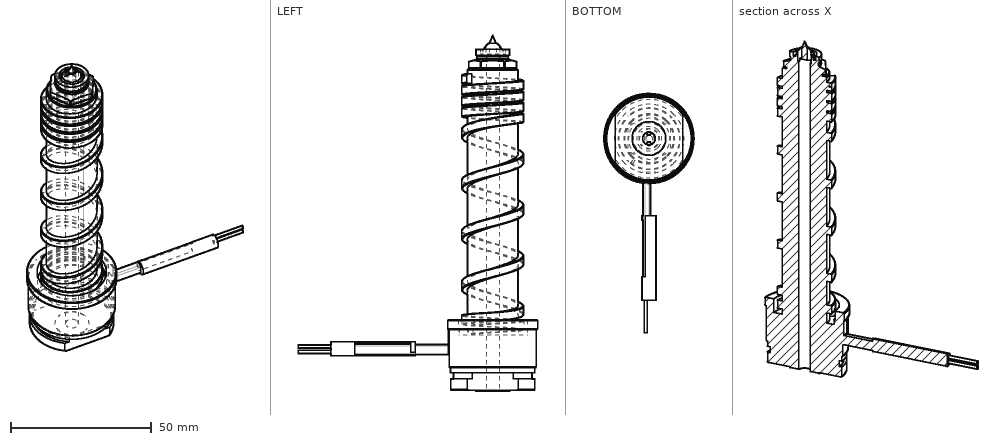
import cadquery as cq
import math

pad_diameter = 12.0
pad_height = 0.25
plug_diameter = 30.0
plug_top = 4.3
plug_chamfer = 0.3
neck_diameter = 28.0
flats_width = 24.0

shoulder_bottom = 6.4
shoulder_diameter = 30.0
sleeve_bottom = 8.2
sleeve_diameter = 31.0
sleeve_chamfer = 0.4
flange_bottom = 21.8
flange_top = 25.2
flange_diameter = 32.0
flange_chamfer = 0.3
recess_diameter = 24.6
recess_floor = 20.0

core_diameter = 18.0
core_top = 114.3
core_chamfer = 0.4
bore_diameter = 4.5
bore_top = 119.0
hex_across_flats = 15.0
hex_top = 117.6
hex_turned_diameter = 17.0
hex_undercut_height = 0.4
hex_undercut_diameter = 14.6
hex_corner_drop = 0.7
throat_diameter = 11.2
throat_flare = 0.4
collar_diameter = 12.0
collar_bottom = 119.2
collar_top = 121.2
gap_depth = 1.5
gap_outer_diameter = 8.8
gap_inner_diameter = 7.4

tip_base_diameter = 6.8
tip_step_height = 123.4
tip_step_diameter = 3.4
point_diameter = 2.4
tip_top = 126.2
flow_hole_diameter = 1.3
flow_hole_offset = 1.9
flow_hole_overlap = 1.0

coil_outer_radius = 11.0
coil_embed = 0.4
coil_inner_radius = core_diameter / 2 - coil_embed
coil_height = 3.3
coil_chamfer = 0.25
close_pitch = 3.9
open_pitch = 18.0
blend_turns = 0.37
open_start_angle = -52.5
open_start_z = 30.3
open_turns = 3.832
lower_turns = 1.5
upper_turns = 3.657
points_per_turn = 16

tube_z = 15.0
tube_diameter = 5.0
tube_start = 27.4
tube_end = 57.4
window_start = 29.0
window_end = 49.0
window_x = -1.35
cable_x = -0.8
cable_z = 14.7
cable_width = 2.7
cable_height = 3.75
cable_corner_radius = 0.6
cable_embed_margin = 1.0
wire_x = -1.15
wire_z = 14.85
wire_diameter = 1.2
wire_spacing = 1.9
wire_end = 69.0
wire_embed = 1.0
guard_width = 4.6
guard_reach = 15.8
guard_depth = 4.0


def cylinder(diameter, bottom, top):
    return cq.Workplane("XY").workplane(offset=bottom).circle(diameter / 2).extrude(top - bottom)


def make_plug():
    plug = cylinder(plug_diameter, pad_height, plug_top).faces("<Z").chamfer(plug_chamfer)
    neck = cylinder(neck_diameter, plug_top, shoulder_bottom)
    flats = cq.Workplane("XY").box(flats_width, plug_diameter, shoulder_bottom, centered=(True, True, False))
    pad = cylinder(pad_diameter, 0, pad_height)
    return plug.union(neck).intersect(flats).union(pad)


def make_sleeve():
    shoulder = cylinder(shoulder_diameter, shoulder_bottom, sleeve_bottom)
    sleeve = cylinder(sleeve_diameter, sleeve_bottom, flange_bottom).faces("<Z").chamfer(sleeve_chamfer)
    flange = cylinder(flange_diameter, flange_bottom, flange_top).edges().chamfer(flange_chamfer)
    recess = cylinder(recess_diameter, recess_floor, flange_top)
    return shoulder.union(sleeve).union(flange).cut(recess)


def make_hex():
    """Hexagon with trimmed corners on +Y and -Y and a shallow conical top."""
    corner_diameter = 2 * hex_across_flats / math.sqrt(3)
    turned_radius = hex_turned_diameter / 2
    bottom = core_top + hex_undercut_height
    hexagon = (
        cq.Workplane("XY")
        .workplane(offset=bottom)
        .transformed(rotate=(0, 0, 90))
        .polygon(6, corner_diameter)
        .extrude(hex_top - bottom)
    )
    cone_cap = (
        cq.Workplane("XZ")
        .moveTo(0, bottom)
        .lineTo(turned_radius, bottom)
        .lineTo(turned_radius, hex_top - hex_corner_drop)
        .lineTo(collar_diameter / 2, hex_top)
        .lineTo(0, hex_top)
        .close()
        .revolve(360, (0, 0, 0), (0, 1, 0))
    )
    return hexagon.intersect(cone_cap).union(cylinder(hex_undercut_diameter, core_top, bottom))


def make_head():
    """Throat, collar and double-cone tip as one revolved profile."""
    throat_radius = throat_diameter / 2
    collar_radius = collar_diameter / 2
    gap_floor = collar_top - gap_depth
    profile = [
        (0, hex_top - hex_corner_drop),
        (collar_radius, hex_top - hex_corner_drop),
        (collar_radius, hex_top),
        (throat_radius, hex_top + throat_flare),
        (throat_radius, collar_bottom - throat_flare),
        (collar_radius, collar_bottom),
        (collar_radius, collar_top),
        (gap_outer_diameter / 2, collar_top),
        (gap_outer_diameter / 2, gap_floor),
        (gap_inner_diameter / 2, gap_floor),
        (tip_base_diameter / 2, collar_top),
        (tip_step_diameter / 2, tip_step_height),
        (point_diameter / 2, tip_step_height),
        (0, tip_top),
    ]
    return cq.Workplane("XZ").polyline(profile).close().revolve(360, (0, 0, 0), (0, 1, 0))


def coil_rise(turns):
    """Height gained after a number of turns from the start of the open winding.

    The pitch blends linearly between close and open over blend_turns, just
    below the open winding's start and just before its end.
    """
    step = open_pitch - close_pitch
    rise = close_pitch * turns
    if turns < 0:
        into_blend = min(-turns, blend_turns)
        return rise - step * (into_blend - into_blend**2 / (2 * blend_turns))
    full_turns = min(turns, open_turns - blend_turns)
    into_blend = min(max(turns - full_turns, 0), blend_turns)
    return rise + step * (full_turns + into_blend - into_blend**2 / (2 * blend_turns))


def coil_edge(radius, z_shift):
    first = -lower_turns
    total = lower_turns + open_turns + upper_turns
    count = round(total * points_per_turn)
    points = []
    for i in range(count + 1):
        turns = first + total * i / count
        angle = math.radians(open_start_angle + 360 * turns)
        z = open_start_z + coil_rise(turns) + z_shift
        points.append(cq.Vector(radius * math.cos(angle), radius * math.sin(angle), z))
    return cq.Edge.makeSpline(points)


def make_coil():
    """Strip with chamfered outer corners, bounded by faces ruled between helical edges."""
    half = coil_height / 2
    flat_half = half - coil_chamfer
    shoulder_radius = coil_outer_radius - coil_chamfer
    corners = [
        coil_edge(coil_inner_radius, -half),
        coil_edge(shoulder_radius, -half),
        coil_edge(coil_outer_radius, -flat_half),
        coil_edge(coil_outer_radius, flat_half),
        coil_edge(shoulder_radius, half),
        coil_edge(coil_inner_radius, half),
    ]
    faces = []
    for i, edge in enumerate(corners):
        faces.append(cq.Face.makeRuledSurface(edge, corners[(i + 1) % len(corners)]))
    for position in (0, 1):
        ends = [edge.positionAt(position) for edge in corners]
        faces.append(cq.Face.makeFromWires(cq.Wire.makePolygon(ends, close=True)))
    return cq.Workplane(cq.Solid.makeSolid(cq.Shell.makeShell(faces)))


def rod_along_y(x, z, diameter, start, end):
    plane = cq.Plane(origin=(x, start, z), xDir=(1, 0, 0), normal=(0, 1, 0))
    return cq.Workplane(plane).circle(diameter / 2).extrude(end - start)


def make_cable_guard():
    """Flat block on the sleeve, under the flange, where the cable leaves it."""
    bottom = cable_z - cable_height / 2
    guard = cq.Workplane("XY").box(
        guard_width, guard_depth, flange_bottom - bottom, centered=(True, False, False)
    )
    return guard.translate((0, guard_reach - guard_depth, bottom))


def make_lead():
    tube = rod_along_y(0, tube_z, tube_diameter, tube_start, tube_end)
    window = cq.Workplane("XY").box(
        tube_diameter, window_end - window_start, tube_diameter, centered=(True, False, True)
    )
    tube = tube.cut(window.translate((window_x - tube_diameter / 2, window_start, tube_z)))

    cable_start = recess_diameter / 2 + cable_embed_margin
    cable = (
        cq.Workplane("XY")
        .box(cable_width, window_end - cable_start, cable_height, centered=(True, False, True))
        .edges("|Y")
        .fillet(cable_corner_radius)
        .translate((cable_x, cable_start, cable_z))
    )
    lead = tube.union(cable)
    for side in (-1, 1):
        z = wire_z + side * wire_spacing / 2
        lead = lead.union(rod_along_y(wire_x, z, wire_diameter, tube_end - wire_embed, wire_end))
    return lead


def make_flow_passages():
    """Central bore plus two parallel holes opening on the tip cone."""
    passages = cylinder(bore_diameter, 0, bore_top)
    for side in (-1, 1):
        hole = cylinder(flow_hole_diameter, bore_top - flow_hole_overlap, tip_top)
        passages = passages.union(hole.translate((0, side * flow_hole_offset, 0)))
    return passages


core = cylinder(core_diameter, shoulder_bottom, core_top).faces(">Z").chamfer(core_chamfer)
body = make_plug().union(make_sleeve()).union(core).union(make_hex()).union(make_head())
result = body.union(make_cable_guard()).union(make_coil()).union(make_lead()).cut(make_flow_passages())